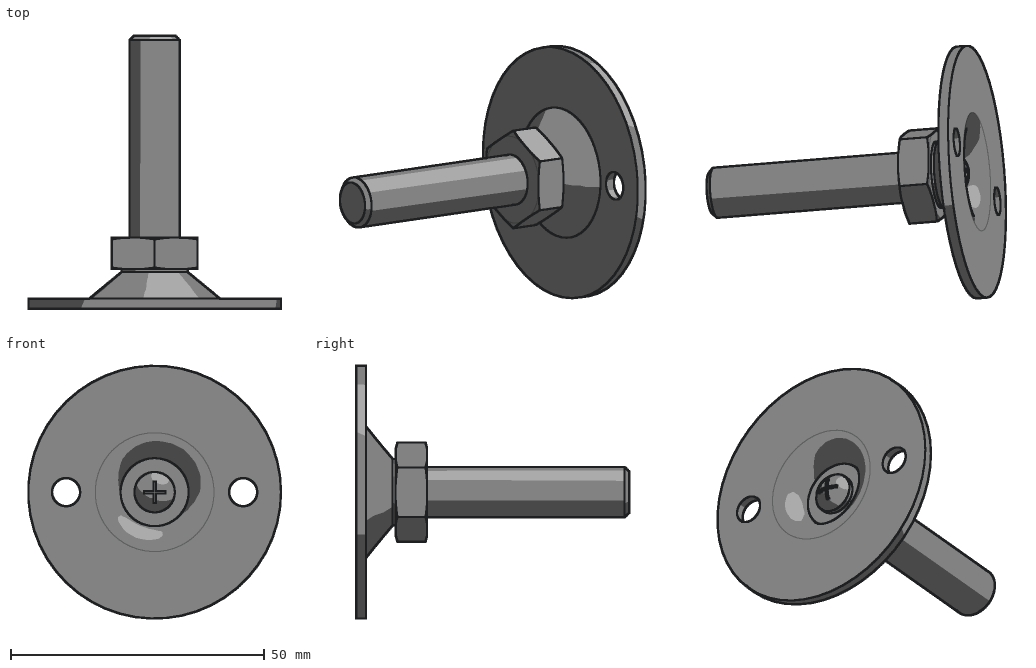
import cadquery as cq
import math

plate_diameter = 50.0
plate_thickness = 2.0
screw_hole_diameter = 5.5
screw_hole_spacing = 35.0

hub_base_diameter = 25.9
collar_diameter = 13.2
collar_start = 7.25

recess_diameter = 23.5
recess_depth = 5.0
recess_floor_diameter = recess_diameter - 2 * recess_depth

head_diameter = 8.0
head_rim_height = 1.0
head_height = 3.3
slot_length = 4.2
slot_width = 0.5
slot_depth = 1.0

nut_start = 7.85
nut_thickness = 6.2
nut_across_flats = 17.0
nut_corner_diameter = nut_across_flats / math.cos(math.pi / 6)
nut_chamfer_height = 0.3
nut_face_diameter = 17.35

stud_diameter = 10.0
stud_end = 54.0
stud_chamfer = 0.9


def cylinder(diameter, start, end):
    """Cylinder along +Y between two Y positions."""
    base = cq.Workplane("XZ", origin=(0, start, 0))
    return base.circle(diameter / 2).extrude(start - end)


def turned(profile):
    """Revolve an XY profile fully about the Y axis."""
    return profile.close().revolve(360, (0, 0, 0), (0, 1, 0))


def make_foot():
    plate = cylinder(plate_diameter, 0, plate_thickness)
    for side in (-1, 1):
        hole = cylinder(screw_hole_diameter, 0, plate_thickness)
        plate = plate.cut(hole.translate((side * screw_hole_spacing / 2, 0, 0)))

    hub = turned(
        cq.Workplane("XY")
        .lineTo(hub_base_diameter / 2, 0)
        .lineTo(hub_base_diameter / 2, plate_thickness)
        .lineTo(collar_diameter / 2, collar_start)
        .lineTo(collar_diameter / 2, nut_start)
        .lineTo(0, nut_start)
    )

    rim_radius = recess_diameter / 2
    arc_middle = recess_depth * math.sqrt(0.5)
    recess = turned(
        cq.Workplane("XY")
        .lineTo(rim_radius, 0)
        .threePointArc(
            (rim_radius - arc_middle, recess_depth - arc_middle),
            (recess_floor_diameter / 2, recess_depth),
        )
        .lineTo(0, recess_depth)
    )
    return plate.union(hub).cut(recess)


def make_head():
    radius = head_diameter / 2
    rim = recess_depth - head_rim_height
    top = recess_depth - head_height
    dome_height = rim - top
    dome_radius = (radius**2 + dome_height**2) / (2 * dome_height)
    dome_center = top + dome_radius
    middle_x = radius / 2
    middle_y = dome_center - math.sqrt(dome_radius**2 - middle_x**2)
    head = turned(
        cq.Workplane("XY")
        .moveTo(0, recess_depth)
        .lineTo(radius, recess_depth)
        .lineTo(radius, rim)
        .threePointArc((middle_x, middle_y), (0, top))
    )
    slot_center = (0, top + slot_depth / 2, 0)
    for size_x, size_z in ((slot_length, slot_width), (slot_width, slot_length)):
        slot = cq.Workplane("XY").box(size_x, slot_depth, size_z)
        head = head.cut(slot.translate(slot_center))
    return head


def make_nut():
    nut_end = nut_start + nut_thickness
    hexagon = (
        cq.Workplane("XZ", origin=(0, nut_start, 0))
        .transformed(rotate=(0, 0, 90))
        .polygon(6, nut_corner_diameter)
        .extrude(-nut_thickness)
    )
    envelope = turned(
        cq.Workplane("XY")
        .moveTo(0, nut_start)
        .lineTo(nut_face_diameter / 2, nut_start)
        .lineTo(nut_corner_diameter / 2, nut_start + nut_chamfer_height)
        .lineTo(nut_corner_diameter / 2, nut_end - nut_chamfer_height)
        .lineTo(nut_face_diameter / 2, nut_end)
        .lineTo(0, nut_end)
    )
    return hexagon.intersect(envelope)


def make_stud():
    stud = cylinder(stud_diameter, nut_start, stud_end)
    return stud.faces(">Y").chamfer(stud_chamfer)


result = make_foot().union(make_head()).union(make_nut()).union(make_stud())